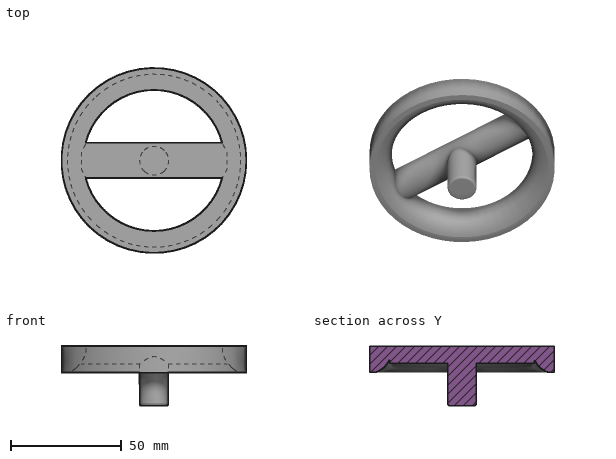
import cadquery as cq
import math

wheel_diameter = 83.4
wheel_height = 12.0
rim_width = 10.0
rim_lip_height = 2.0
rim_curve_radius = 10.5
bar_width = 16.0
bar_overlap = 1.0
pin_diameter = 13.0
pin_length = 15.0
pin_burial = 3.0
pin_edge_radius = 1.0

wheel_radius = wheel_diameter / 2
opening_radius = wheel_radius - rim_width
bar_radius = bar_width / 2
pin_bottom = -(wheel_height + pin_length)


def rim_curve_point(angle):
    """Point (radius, z) on the rim's curved inner wall, at an angle measured from its upper end."""
    return (
        opening_radius + rim_curve_radius * (1 - math.cos(angle)),
        -rim_lip_height - rim_curve_radius * math.sin(angle),
    )


def make_rim():
    """Ring whose inner wall drops straight, then curves outward on a tangent arc."""
    curve_drop = wheel_height - rim_lip_height
    curve_angle = math.asin(curve_drop / rim_curve_radius)
    return (
        cq.Workplane("XZ")
        .moveTo(wheel_radius, 0)
        .lineTo(opening_radius, 0)
        .lineTo(opening_radius, -rim_lip_height)
        .threePointArc(rim_curve_point(curve_angle / 2), rim_curve_point(curve_angle))
        .lineTo(wheel_radius, -wheel_height)
        .close()
        .revolve(360, (0, 0, 0), (0, 1, 0))
    )


def make_bar():
    """Half-round crossbar along X, flat on top, ending inside the rim."""
    bar_half_length = opening_radius + bar_overlap
    return (
        cq.Workplane("YZ")
        .workplane(offset=-bar_half_length)
        .moveTo(-bar_radius, 0)
        .threePointArc((0, -bar_radius), (bar_radius, 0))
        .close()
        .extrude(2 * bar_half_length)
    )


def make_pin():
    """Round pin from the bar downward, with a rounded lower edge."""
    return (
        cq.Workplane("XY")
        .workplane(offset=pin_bottom)
        .circle(pin_diameter / 2)
        .extrude(wheel_height + pin_length - pin_burial)
        .faces("<Z")
        .edges()
        .fillet(pin_edge_radius)
    )


result = make_rim().union(make_bar()).union(make_pin())